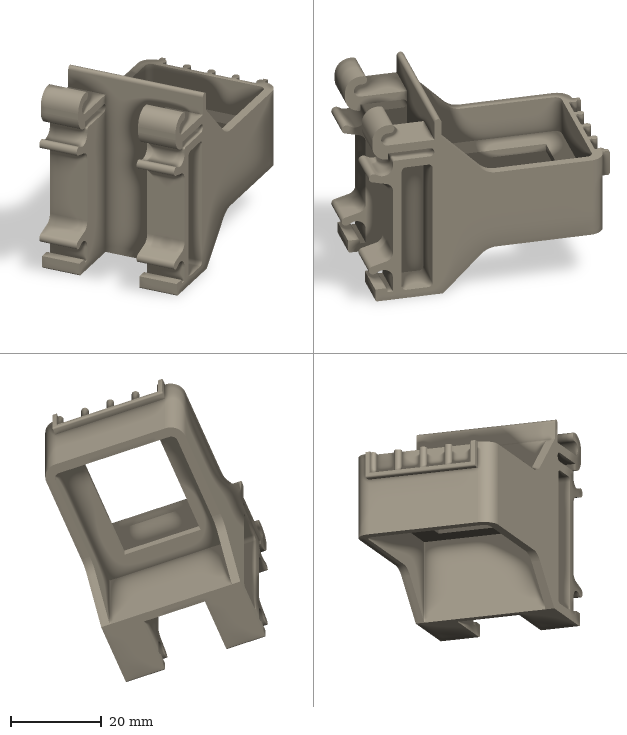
import cadquery as cq
import math


width = 32.9
height = 43.7
mid_z = 19.4
wall = 2.0

box_rear_y = 39.25
box_rear_wall = 2.4
box_half_height = 9.3
box_corner_radius = 3.45
slope_fillet = 5.0
cavity_front_radius = 0.3
floor_thickness = 1.75
window_width = 18.05
window_length = 25.05
window_center_y = 19.6

fin_thickness = 1.6

arm_inner_x = 7.3
arm_front_y = -9.45
arm_top_z = 34.65
arm_edge_radius = 0.5
pocket_rear_y = -0.4
pocket_radius = 0.95
pocket_end_wall = 1.0

slot_height = 2.0
hook_center_y = -10.6
hook_inner_radius = 1.5
hook_lip = 0.5

claw_tip_y = -13.9
claw_tip_z = 30.9
claw_tip_radius = 1.0
claw_groove_radius = 2.25
claw_groove_z = 33.4
claw_root_radius = 2.0
claw_angle = math.radians(15)

foot_front_y = -13.45
foot_rear_y = -10.75
foot_top_z = 3.0
foot_edge_radius = 0.5

comb_width = 26.0
comb_rear_y = 41.0
comb_height = 6.0
comb_floor = 1.0
comb_lip_thickness = 0.95
comb_root_y = 37.95
comb_edge_radius = 0.4
knob_pitch = 6.0
knob_radius = 0.85
knob_neck_width = 0.9
knob_neck_height = 0.55
knob_root_width = 1.35
knobs_each_side = 2

half_width = width / 2
box_bottom_z = mid_z - box_half_height
box_top_z = mid_z + box_half_height
cavity_rear_y = box_rear_y - box_rear_wall
hook_arm_bottom_z = arm_top_z + slot_height
hook_arm_top_z = hook_arm_bottom_z + wall
slope_end_y = wall + box_bottom_z


def box_between(x_range, y_range, z_range):
    """Axis-aligned box from its limits along X, Y and Z."""
    (x0, x1), (y0, y1), (z0, z1) = x_range, y_range, z_range
    return cq.Workplane("XY").box(x1 - x0, y1 - y0, z1 - z0, centered=False).translate((x0, y0, z0))


def side_sketch():
    """Sketch plane seen along X, with coordinates (Y, Z)."""
    return cq.Workplane("YZ")


def across(outline):
    """Extrude a closed side outline over the full width."""
    return outline.extrude(half_width, both=True)


def on_circle(center, radius, angle):
    return (center[0] + radius * math.cos(angle), center[1] + radius * math.sin(angle))


def make_body():
    """Box flaring out to the upright plate, with the fin on top."""
    fin_radius = fin_thickness / 2
    fin_root_z = 2 * mid_z + wall - fin_thickness
    body = across(
        side_sketch()
        .moveTo(0, 0)
        .lineTo(wall, 0)
        .lineTo(slope_end_y, box_bottom_z)
        .lineTo(box_rear_y, box_bottom_z)
        .lineTo(box_rear_y, box_top_z)
        .lineTo(slope_end_y, box_top_z)
        .lineTo(fin_thickness, fin_root_z)
        .lineTo(fin_thickness, height - fin_radius)
        .threePointArc((fin_radius, height), (0, height - fin_radius))
        .close()
    )
    for z in (box_bottom_z, box_top_z):
        slope_edge = cq.selectors.NearestToPointSelector((0, slope_end_y, z))
        body = body.edges(slope_edge).fillet(slope_fillet)
    return body.edges("|Z and >Y").fillet(box_corner_radius)


def make_cavity():
    """Opening above and below the floor, plus the window through the floor."""
    cavity = box_between(
        (wall - half_width, half_width - wall), (wall, cavity_rear_y), (0, height)
    )
    cavity = cavity.edges("|Z and >Y").fillet(box_corner_radius - wall)
    cavity = cavity.edges("|Z and <Y").fillet(cavity_front_radius)
    floor = cq.Workplane("XY").box(width, 2 * box_rear_y, floor_thickness).translate((0, 0, mid_z))
    window = (
        cq.Workplane("XY")
        .box(window_width, window_length, floor_thickness)
        .translate((0, window_center_y, mid_z))
    )
    return cavity.cut(floor).union(window)


def make_arm_block():
    block = box_between((-half_width, half_width), (arm_front_y, 0), (0, arm_top_z))
    return block.edges("|X and <Y and >Z").fillet(arm_edge_radius)


def make_foot():
    foot = box_between((-half_width, half_width), (foot_front_y, foot_rear_y), (0, foot_top_z))
    foot = foot.edges("|X and >Y and >Z").fillet(foot_edge_radius)
    foot = foot.edges("|X and <Y and <Z").fillet(foot_edge_radius)
    sole = box_between((-half_width, half_width), (foot_rear_y, 0), (0, wall))
    return foot.union(sole)


def make_hook():
    """Flat arm over the slot, curling up into a hook with a short drop at its end."""
    outer_radius = hook_inner_radius + wall
    curl_z = hook_arm_top_z + hook_inner_radius
    curl = (hook_center_y, curl_z)
    drop = (hook_center_y, hook_arm_top_z)
    front_y = hook_center_y - outer_radius
    lip_y = hook_center_y + hook_lip
    lip_bottom_z = curl_z + hook_inner_radius
    lip_top_z = lip_bottom_z + wall
    lip_radius = wall / 2
    upper_diagonal = math.radians(135)
    lower_diagonal = math.radians(225)
    slot_radius = slot_height / 2
    root_y = wall / 2
    return across(
        side_sketch()
        .moveTo(root_y, hook_arm_top_z)
        .lineTo(*drop)
        .threePointArc((hook_center_y - hook_inner_radius, curl_z), (hook_center_y, lip_bottom_z))
        .lineTo(lip_y, lip_bottom_z)
        .threePointArc((lip_y + lip_radius, lip_bottom_z + lip_radius), (lip_y, lip_top_z))
        .lineTo(hook_center_y, lip_top_z)
        .threePointArc(on_circle(curl, outer_radius, upper_diagonal), (front_y, curl_z))
        .lineTo(front_y, hook_arm_top_z)
        .threePointArc(
            on_circle(drop, outer_radius, lower_diagonal),
            (hook_center_y, hook_arm_top_z - outer_radius),
        )
        .lineTo(hook_center_y, hook_arm_bottom_z)
        .lineTo(-slot_radius, hook_arm_bottom_z)
        .threePointArc((0, arm_top_z + slot_radius), (-slot_radius, arm_top_z))
        .lineTo(root_y, arm_top_z)
        .close()
    )


def make_claw():
    """Upper claw: round tip blended into a groove above and a sloping underside below."""
    tip = (claw_tip_y, claw_tip_z)
    groove = (arm_front_y - claw_groove_radius, claw_groove_z)
    step_y = tip[0] - groove[0]
    step_z = tip[1] - groove[1]
    tangent_turn = math.acos((claw_groove_radius + claw_tip_radius) / math.hypot(step_y, step_z))
    groove_end = math.atan2(step_z, step_y) + tangent_turn
    root_y = arm_front_y - claw_root_radius
    drop = (claw_tip_radius + claw_root_radius) / math.cos(claw_angle)
    root = (root_y, claw_tip_z - (root_y - claw_tip_y) * math.tan(claw_angle) - drop)
    upward = math.pi / 2 - claw_angle
    return across(
        side_sketch()
        .moveTo(arm_front_y, claw_groove_z)
        .threePointArc(
            on_circle(groove, claw_groove_radius, groove_end / 2),
            on_circle(groove, claw_groove_radius, groove_end),
        )
        .lineTo(*on_circle(tip, claw_tip_radius, groove_end + math.pi))
        .threePointArc(
            on_circle(tip, claw_tip_radius, math.pi),
            on_circle(tip, claw_tip_radius, upward + math.pi),
        )
        .lineTo(*on_circle(root, claw_root_radius, upward))
        .threePointArc(on_circle(root, claw_root_radius, upward / 2), (arm_front_y, root[1]))
        .close()
    )


def make_pocket():
    """Blind pocket in the outer face of the left arm."""
    pocket = box_between(
        (-half_width, -arm_inner_x - pocket_end_wall),
        (arm_front_y + wall, pocket_rear_y),
        (wall, arm_top_z - wall),
    )
    return pocket.edges("|X").fillet(pocket_radius)


def make_comb_block():
    block = box_between(
        (-comb_width / 2, comb_width / 2), (cavity_rear_y, comb_rear_y), (box_top_z - comb_height, box_top_z)
    )
    return block.edges("|X and >Y").fillet(comb_edge_radius)


def make_comb_channel():
    """Channel sunk into the comb, leaving the end lips and a row of round-headed knobs."""
    floor_z = box_top_z - comb_height + comb_floor
    z_range = (floor_z, height)
    depth = height - floor_z
    knob_top_y = comb_rear_y - comb_lip_thickness
    knob_y = knob_top_y - knob_radius
    last_knob_x = knobs_each_side * knob_pitch
    lip_x = comb_width / 2 - comb_lip_thickness
    channel = box_between((-last_knob_x, last_knob_x), (comb_root_y, knob_top_y), z_range)
    channel = channel.union(box_between((-lip_x, lip_x), (knob_top_y, comb_rear_y), z_range))
    for index in range(-knobs_each_side, knobs_each_side + 1):
        x = index * knob_pitch
        head = cq.Workplane("XY", origin=(x, knob_y, floor_z)).circle(knob_radius).extrude(depth)
        neck = (
            cq.Workplane("XY", origin=(x, comb_root_y, floor_z))
            .polyline([
                (-knob_root_width / 2, 0),
                (knob_root_width / 2, 0),
                (knob_neck_width / 2, knob_neck_height),
                (-knob_neck_width / 2, knob_neck_height),
            ])
            .close()
            .extrude(depth)
        )
        channel = channel.cut(head).cut(neck)
    return channel


front_parts = make_arm_block().union(make_foot()).union(make_hook())
claw = make_claw()
lower_claw = claw.mirror("XY", (0, 0, mid_z))
front_parts = front_parts.union(claw).union(lower_claw)

front_gap = box_between((-arm_inner_x, arm_inner_x), (claw_tip_y - claw_tip_radius, 0), (0, height))
front_parts = front_parts.cut(front_gap)
pocket = make_pocket()
front_parts = front_parts.cut(pocket).cut(pocket.mirror("YZ"))

result = (
    make_body()
    .union(make_comb_block())
    .cut(make_cavity())
    .cut(make_comb_channel())
    .union(front_parts)
)